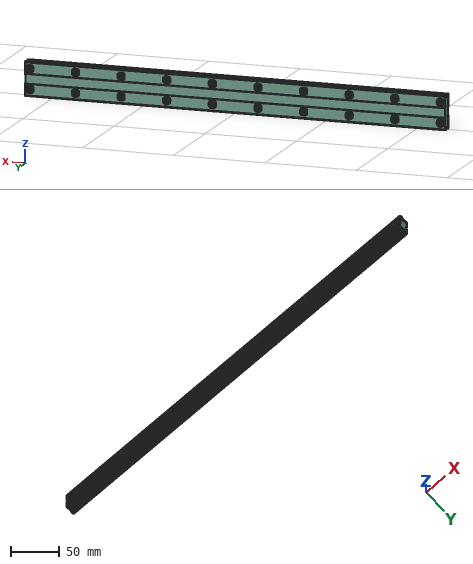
import cadquery as cq

LENGTH = 460.0
DEPTH = 11.0
HEIGHT = 37.0
EDGE_CHAMFER = 0.85

GROOVE_WIDTH = 5.5
GROOVE_BOTTOM_WIDTH = 2.0
GROOVE_DEPTH = 2.0

CHANNEL_HEIGHT = 10.5
CHANNEL_DEPTH = 0.85

HOLE_COLUMNS = 10
HOLE_ROWS = 2
END_MARGIN = 5.0
ROW_SPACING = 22.0
HOLE_DIAMETER = 4.4
BORE_DIAMETER = 8.0
BORE_DEPTH = 5.0

BACK = DEPTH / 2
TOP = HEIGHT / 2


def bar():
    return cq.Workplane("XY").box(LENGTH, DEPTH, HEIGHT).edges("|X").chamfer(EDGE_CHAMFER)


def groove():
    half_mouth = GROOVE_WIDTH / 2
    half_bottom = GROOVE_BOTTOM_WIDTH / 2
    bottom = TOP - GROOVE_DEPTH
    return (
        cq.Workplane("YZ")
        .polyline([(-half_mouth, TOP), (-half_bottom, bottom), (half_bottom, bottom), (half_mouth, TOP)])
        .close()
        .extrude(LENGTH / 2, both=True)
    )


def channel():
    return cq.Workplane("XY").box(LENGTH, 2 * CHANNEL_DEPTH, CHANNEL_HEIGHT).translate((0, BACK, 0))


def screw_holes():
    pitch = (LENGTH - 2 * END_MARGIN) / (HOLE_COLUMNS - 1)
    places = cq.Workplane("XZ", origin=(0, BACK, 0)).rarray(pitch, ROW_SPACING, HOLE_COLUMNS, HOLE_ROWS)
    drills = places.circle(HOLE_DIAMETER / 2).extrude(DEPTH)
    bores = places.circle(BORE_DIAMETER / 2).extrude(BORE_DEPTH)
    return drills.union(bores)


result = (
    bar()
    .cut(groove())
    .cut(groove().mirror("XY"))
    .cut(channel())
    .cut(channel().mirror("XZ"))
    .cut(screw_holes())
)